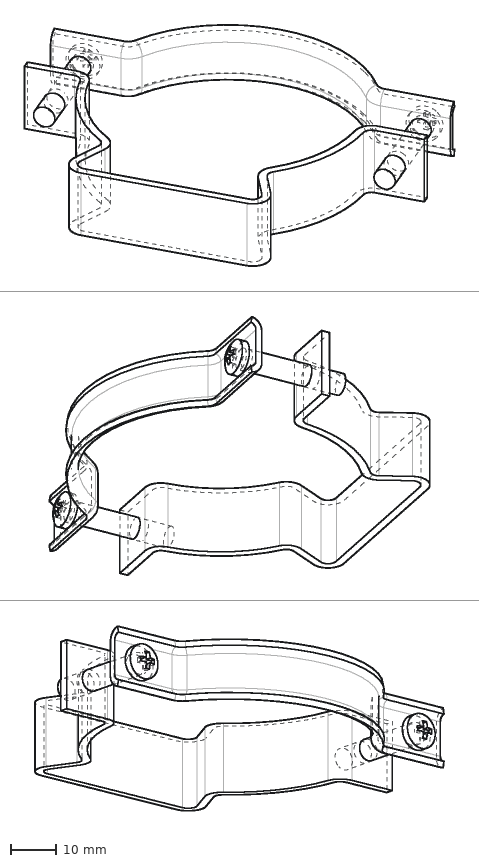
import cadquery as cq
import math

pipe_radius = 31.5
half_span = 47.0

meeting_tolerance = 1e-6

screw_x = 40.0
screw_diameter = 5.0
screw_length = 25.0
head_diameter = 8.0
head_rim_height = 1.75
head_height = 3.25
recess_span = 4.0
recess_width = 1.1
recess_depth = 1.5

saddle_width = 16.0
saddle_thickness = 2.0
saddle_bend_inner = 2.0
saddle_bend_outer = saddle_bend_inner + saddle_thickness
saddle_flange_top = 0.0
foot_bottom = -41.5
foot_bend_x = 19.5
neck_bend_x = 21.6

cap_thickness = 1.5
cap_flange_bottom = 15.0
cap_bend_outer = 5.0
cap_web_half_width = 4.0
curl_outer_radius = 3.0
curl_inner_radius = curl_outer_radius - cap_thickness
curl_angle = math.radians(80)


def polar(center, radius, angle):
    """Point at a radius and an angle from a center."""
    return (center[0] + radius * math.cos(angle), center[1] + radius * math.sin(angle))


def arc(center, radius, start, end):
    """Start, middle and end points of an arc between two angles."""
    return [polar(center, radius, angle) for angle in (start, (start + end) / 2, end)]


def mirrored(arcs):
    """The same arcs reflected in the YZ plane, in reverse order and direction."""
    return [[(-x, y) for x, y in reversed(points)] for points in reversed(arcs)]


def strip_path(flange_y, arcs):
    """Path of the pipe-side face: flange end, tangent arcs joined by straight lines, flange end."""
    path = cq.Workplane("XY").moveTo(half_span, flange_y)
    here = (half_span, flange_y)
    for start, middle, end in arcs:
        if math.dist(here, start) > meeting_tolerance:
            path = path.lineTo(*start)
        path = path.threePointArc(middle, end)
        here = end
    return path.lineTo(-half_span, flange_y)


def section_plane(flange_y):
    """Plane of a strip's cross-section at its +X end: local x is world Y, local y is world Z."""
    return cq.Workplane("YZ", origin=(half_span, flange_y, 0))


def drill_screw_holes(strap):
    """Cut a hole in each flange that fits the screw shank."""
    drill_length = 2 * screw_length
    for x in (-screw_x, screw_x):
        drill = (
            cq.Workplane("XZ", origin=(x, drill_length / 2, 0))
            .circle(screw_diameter / 2)
            .extrude(drill_length)
        )
        strap = strap.cut(drill)
    return strap


def make_saddle():
    """Lower strap, a flat strip with a dovetail-shaped foot."""
    bend_reach = pipe_radius + saddle_bend_outer
    flange_center_y = saddle_flange_top - saddle_bend_outer
    flange_center = (math.sqrt(bend_reach**2 - flange_center_y**2), flange_center_y)
    neck_center = (neck_bend_x, -math.sqrt(bend_reach**2 - neck_bend_x**2))
    foot_center = (foot_bend_x, foot_bottom + saddle_bend_outer)
    flange_angle = math.atan2(flange_center[1], flange_center[0])
    neck_angle = math.atan2(neck_center[1], neck_center[0])

    dx = neck_center[0] - foot_center[0]
    dy = neck_center[1] - foot_center[1]
    crossing = math.asin((saddle_bend_outer + saddle_bend_inner) / math.hypot(dx, dy))
    wall_normal = math.atan2(dy, dx) + crossing - math.pi / 2

    right_arcs = [
        arc(flange_center, saddle_bend_outer, math.pi / 2, math.pi + flange_angle),
        arc((0, 0), pipe_radius, flange_angle, neck_angle),
        arc(neck_center, saddle_bend_outer, math.pi + neck_angle, math.pi + wall_normal),
        arc(foot_center, saddle_bend_inner, wall_normal, -math.pi / 2),
    ]
    path = strip_path(saddle_flange_top, right_arcs + mirrored(right_arcs))
    section = section_plane(saddle_flange_top).center(-saddle_thickness / 2, 0)
    return drill_screw_holes(section.rect(saddle_thickness, saddle_width).sweep(path))


def make_cap():
    """Upper strap, with both long edges curled away from the pipe."""
    bend_center_y = cap_flange_bottom + cap_bend_outer
    bend_reach = pipe_radius + cap_bend_outer
    bend_center = (math.sqrt(bend_reach**2 - bend_center_y**2), bend_center_y)
    bend_angle = math.atan2(bend_center[1], bend_center[0])
    right_bend = arc(bend_center, cap_bend_outer, -math.pi / 2, bend_angle - math.pi)
    crown = arc((0, 0), pipe_radius, bend_angle, math.pi - bend_angle)
    path = strip_path(cap_flange_bottom, [right_bend, crown] + mirrored([right_bend]))

    curl_center = (curl_outer_radius, cap_web_half_width)
    outer_curl = arc(curl_center, curl_outer_radius, math.pi, math.pi - curl_angle)
    inner_curl = arc(curl_center, curl_inner_radius, math.pi - curl_angle, math.pi)
    lower_outer, lower_inner = [
        [(x, -y) for x, y in reversed(points)] for points in (outer_curl, inner_curl)
    ]
    section = (
        section_plane(cap_flange_bottom)
        .moveTo(*outer_curl[0])
        .threePointArc(*outer_curl[1:])
        .lineTo(*inner_curl[0])
        .threePointArc(*inner_curl[1:])
        .lineTo(*lower_inner[0])
        .threePointArc(*lower_inner[1:])
        .lineTo(*lower_outer[0])
        .threePointArc(*lower_outer[1:])
        .close()
    )
    return drill_screw_holes(section.sweep(path))


def make_screw(x):
    """Cross-recessed round-head screw whose head rests on the outer face of the cap flange."""
    seat_y = cap_flange_bottom + cap_thickness
    rim_y = seat_y + head_rim_height
    tip_y = seat_y - screw_length
    head_radius = head_diameter / 2
    dome_height = head_height - head_rim_height
    dome_radius = (head_radius**2 + dome_height**2) / (2 * dome_height)
    crown_y = seat_y + head_height
    dome_center = (0, crown_y - dome_radius)
    dome_edge_angle = math.acos(head_radius / dome_radius)
    dome = arc(dome_center, dome_radius, dome_edge_angle, math.pi / 2)
    screw = (
        cq.Workplane("XY", origin=(x, 0, 0))
        .moveTo(0, tip_y)
        .lineTo(screw_diameter / 2, tip_y)
        .lineTo(screw_diameter / 2, seat_y)
        .lineTo(head_radius, seat_y)
        .lineTo(head_radius, rim_y)
        .threePointArc(*dome[1:])
        .close()
        .revolve(360, (0, 0, 0), (0, 1, 0))
    )
    for slot_x, slot_z in ((recess_span, recess_width), (recess_width, recess_span)):
        slot = cq.Workplane("XZ", origin=(x, crown_y, 0)).rect(slot_x, slot_z).extrude(recess_depth)
        screw = screw.cut(slot)
    return screw


saddle = make_saddle()
cap = make_cap()
screws = [make_screw(x) for x in (-screw_x, screw_x)]

result = cq.Compound.makeCompound([saddle.val(), cap.val(), *(screw.val() for screw in screws)])